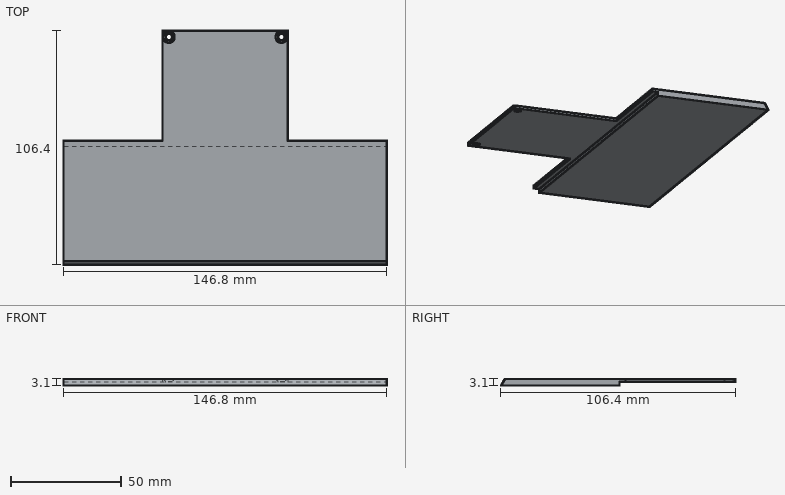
import cadquery as cq
import math

width = 146.8
depth = 106.4
thickness = 3.1

tab_width = 57.0
tab_length = 49.9
plate_thickness = 1.3
lip_depth = 2.6

bevel_angle = 30.0
bevel_run = thickness * math.tan(math.radians(bevel_angle))

hole_diameter = 3.0
countersink_diameter = 5.3
countersink_angle = 90.0
hole_inset = 3.0

body_depth = depth - tab_length
step_y = body_depth - lip_depth
plate_bottom = thickness - plate_thickness


def make_body():
    """Wide body: side profile with a sloped front and a thin lip at the back."""
    profile = [
        (0, 0),
        (step_y, 0),
        (step_y, plate_bottom),
        (body_depth, plate_bottom),
        (body_depth, thickness),
        (bevel_run, thickness),
    ]
    return cq.Workplane("YZ").polyline(profile).close().extrude(width / 2, both=True)


def make_tab():
    """Thin tab, flush with the top of the body and continuing its lip."""
    return cq.Workplane("XY").box(
        tab_width, tab_length + lip_depth, plate_thickness, centered=(True, False, False)
    ).translate((0, step_y, plate_bottom))


def drill_screw_holes(part):
    hole_x = tab_width / 2 - hole_inset
    hole_y = depth - hole_inset
    return (
        part.faces(">Z")
        .workplane(origin=(0, 0, thickness))
        .pushPoints([(-hole_x, hole_y), (hole_x, hole_y)])
        .cskHole(hole_diameter, countersink_diameter, countersink_angle)
    )


result = drill_screw_holes(make_body().union(make_tab()))